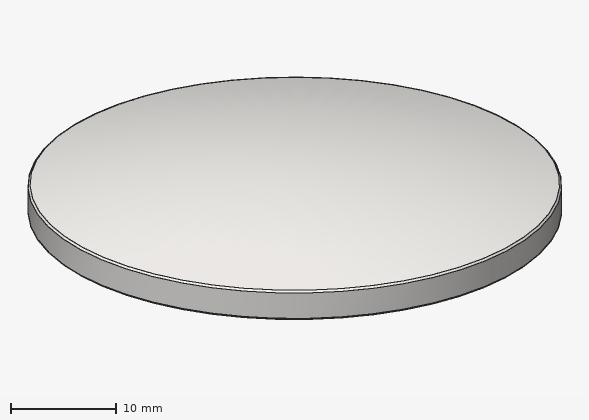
import cadquery as cq

diameter = 50.8
total_height = 5.85
edge_chamfer = 0.2
rim_height = 3.05

radius = diameter / 2
dome_radius = radius - edge_chamfer

dome_rise = total_height - rim_height
sphere_radius = (dome_radius**2 + dome_rise**2) / (2 * dome_rise)
sphere_centre_z = total_height - sphere_radius
mid_x = dome_radius / 2
mid_z = sphere_centre_z + (sphere_radius**2 - mid_x**2) ** 0.5

profile = (
    cq.Workplane("XZ")
    .lineTo(radius - edge_chamfer, 0)
    .lineTo(radius, edge_chamfer)
    .lineTo(radius, rim_height - edge_chamfer)
    .lineTo(dome_radius, rim_height)
    .threePointArc((mid_x, mid_z), (0, total_height))
    .close()
)

result = profile.revolve(360, (0, 0, 0), (0, 1, 0))